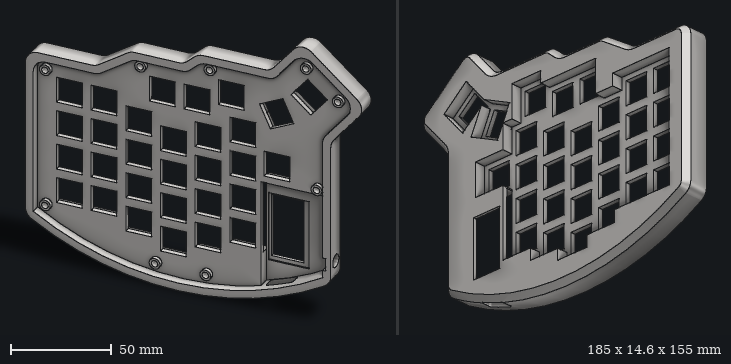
import cadquery as cq
import math

depth = 14.6
body_width = 168.0
wall = 4.5
corner_radius = 7.0
face_chamfer = 3.3

plate_y = 5.2
plate_thickness = 3.0
key_hole = 14.0
key_pitch = 19.0
bezel_cell = 20.0

arc_end_z = 23.9
left_top_z = 117.3
middle_top_z = 130.0
right_top_z = 137.3
first_ramp_x = (38.7, 58.1)
second_ramp_x = (87.2, 95.3)

wing_tilt = 40.0
wing_upper_centre = (152.8, 148.0)
wing_right_x = 185.0

column_x = 21.8
column_top_z = (95.5, 95.5, 88.3, 81.5, 88.3, 95.5)
keys_per_column = 4
upper_keys = ((72.9, 108.2, 0), (92.0, 108.2, 0), (110.8, 115.3, 0))
side_key = (136.0, 80.5, 0)
wing_keys = ((135.8, 110.5, 25), (153.8, 124.2, -wing_tilt))
bezel_link_x = (68.5, 117.0)
bezel_link_z = (81.5, 108.2)

screw_places = (
    (9.5, 29.5), (9.5, 106.4), (61.8, 120.8), (100.0, 127.9), (152.8, 141.2),
    (170.5, 126.4), (158.8, 73.5), (69.8, 10.5), (97.7, 10.5),
)
boss_diameter = 6.0
boss_height = 2.2
screw_diameter = 3.5
screw_depth = 5.5

bay_left_x = 127.1
bay_top_z = 69.8
bay_floor_y = 11.7
recess_x = (128.2, 150.6)
recess_z = (22.4, 60.7)
recess_depth = 1.0
window_x = (129.5, 147.3)
window_z = (24.6, 59.5)

jack_y = 6.0
jack_z = 34.0
jack_diameter = 7.0
jack_notch_depth = 1.7

plug_x = (129.9, 144.7)
plug_y = (5.2, 11.5)
plug_top_z = 18.5
plug_fillet = 1.1


def block(x_range, y_range, z_range):
    """Box between the given limits."""
    size = [high - low for low, high in (x_range, y_range, z_range)]
    return cq.Workplane("XY").box(*size, centered=False).translate((x_range[0], y_range[0], z_range[0]))


def pin(x, z, diameter, y_start, length):
    """Cylinder along +Y."""
    plane = cq.Workplane("XZ", origin=(0, y_start, 0))
    return plane.center(x, z).circle(diameter / 2).extrude(-length)


def key_block(x, z, angle, side, y_start, y_end):
    """Square block for one key, turned by angle about its own centre."""
    profile = cq.Workplane("XZ", origin=(x, y_start, z)).transformed(rotate=(0, 0, angle))
    return profile.rect(side, side).extrude(y_start - y_end)


middle_x = body_width / 2
arc_radius = (middle_x**2 + arc_end_z**2) / (2 * arc_end_z)
tilt = math.radians(wing_tilt)


def line_crossing(point_a, angle_a, point_b, angle_b):
    """Crossing point of two lines, each given by a point and a direction."""
    ax, az = point_a
    bx, bz = point_b
    turn = math.sin(angle_b - angle_a)
    along = ((bx - ax) * math.sin(angle_b) - (bz - az) * math.cos(angle_b)) / turn
    return (ax + along * math.cos(angle_a), az + along * math.sin(angle_a))


def sharp_corners(inset):
    """Corners of the outline moved inwards by inset, before they are rounded."""
    bottom_reach = middle_x - inset
    bottom_z = arc_radius - math.sqrt((arc_radius - inset) ** 2 - bottom_reach**2)
    lower_centre_x = wing_right_x - corner_radius
    lower_centre_z = wing_upper_centre[1] - (lower_centre_x - wing_upper_centre[0]) * math.tan(tilt)
    reach = corner_radius - inset
    across = (math.cos(tilt) * reach, math.sin(tilt) * reach)
    side_angle = math.pi / 2 - tilt
    upper_side = (wing_upper_centre[0] - across[0], wing_upper_centre[1] + across[1])
    end_side = (wing_upper_centre[0] + across[1], wing_upper_centre[1] + across[0])
    lower_side = (lower_centre_x + across[0], lower_centre_z - across[1])

    def ramp(xs, low, high):
        angle = math.atan2(high - low, xs[1] - xs[0])
        start = (xs[0] + inset * math.sin(angle), low - inset * math.cos(angle))
        return [line_crossing((0, z - inset), 0, start, angle) for z in (low, high)]

    return [
        (inset, bottom_z),
        (inset, left_top_z - inset),
        *ramp(first_ramp_x, left_top_z, middle_top_z),
        *ramp(second_ramp_x, middle_top_z, right_top_z),
        line_crossing((0, right_top_z - inset), 0, upper_side, side_angle),
        line_crossing(upper_side, side_angle, end_side, -tilt),
        line_crossing(end_side, -tilt, lower_side, side_angle),
        line_crossing(lower_side, side_angle, (body_width - inset, 0), math.pi / 2),
        (body_width - inset, bottom_z),
    ]


def outline_prism(inset, y_start, y_end):
    """Prism of the inset outline with sharp corners."""
    corners = sharp_corners(inset)
    profile = cq.Workplane("XZ", origin=(0, y_start, 0)).polyline(corners)
    profile = profile.threePointArc((middle_x, inset), corners[0]).close()
    return profile.extrude(y_start - y_end)


shell = outline_prism(0, 0, depth).edges("|Y").fillet(corner_radius)
shell = shell.faces(">Y").edges().chamfer(face_chamfer)

upper_region = cq.selectors.BoxSelector((0, 0, left_top_z / 2), (2 * wing_right_x, depth, 2 * right_top_z))


def cavity(y_end):
    """Inside of the shell; the two bottom corners stay sharp."""
    return outline_prism(wall, 0, y_end).edges("|Y").edges(upper_region).fillet(corner_radius)


body = shell.cut(cavity(plate_y))

grid_keys = [
    (column_x + column * key_pitch, top_z - row * key_pitch, 0)
    for column, top_z in enumerate(column_top_z)
    for row in range(keys_per_column)
]
grid_keys += upper_keys
grid_keys.append(side_key)

bezel_y = plate_y + plate_thickness


def bezel_opening(keys, extra=None):
    """One opening around a group of keys."""
    cells = extra or cq.Workplane("XY")
    for x, z, angle in keys:
        cells = cells.union(key_block(x, z, angle, bezel_cell, bezel_y, depth))
    return cells.clean()


for x, z, angle in [*grid_keys, *wing_keys]:
    body = body.cut(key_block(x, z, angle, key_hole, plate_y, bezel_y))
body = body.cut(bezel_opening(grid_keys, block(bezel_link_x, (bezel_y, depth), bezel_link_z)))
body = body.cut(bezel_opening(wing_keys))

bay_space = block((bay_left_x, wing_right_x), (plate_y, bay_floor_y), (0, bay_top_z))
body = body.cut(cavity(depth).intersect(bay_space))
body = body.cut(block(recess_x, (bay_floor_y, bay_floor_y + recess_depth), recess_z))
body = body.cut(block(window_x, (bay_floor_y, depth), window_z))

for x, z in screw_places:
    body = body.union(pin(x, z, boss_diameter, plate_y - boss_height, boss_height))
    body = body.cut(pin(x, z, screw_diameter, plate_y - boss_height, screw_depth))

inner_x = body_width - wall
jack_hole = cq.Workplane("YZ", origin=(inner_x - wall, jack_y, jack_z))
jack_hole = jack_hole.circle(jack_diameter / 2).extrude(3 * wall)
jack_notch = block(
    (inner_x - wall, inner_x + jack_notch_depth),
    (0, jack_y),
    (jack_z - jack_diameter / 2, jack_z + jack_diameter / 2),
)
body = body.cut(jack_hole).cut(jack_notch)

plug_slot = block(plug_x, plug_y, (0, plug_top_z)).edges("|Z").fillet(plug_fillet)
body = body.cut(plug_slot)

result = body